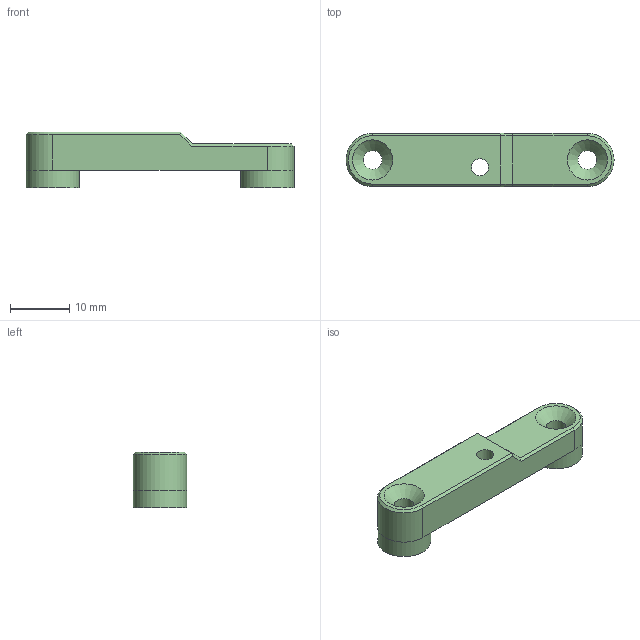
import cadquery as cq

end_diameter = 9.0
length = 45.34
high_top = 9.47
step_drop = 2.0
low_top = high_top - step_drop
bar_bottom = 3.0

ramp_start_x = 3.5
ramp_end_x = ramp_start_x + step_drop
edge_chamfer = 0.4

screw_diameter = 3.2
countersink_diameter = 6.8
countersink_angle = 90.0
pin_diameter = 2.9
pin_x = 0.0
pin_y = -1.25

end_x = (length - end_diameter) / 2


def make_bar():
    """Round-ended bar cut down to a high half, a ramp and a low half."""
    bar = (
        cq.Workplane("XY", origin=(0, 0, bar_bottom))
        .slot2D(length, end_diameter)
        .extrude(high_top - bar_bottom)
    )
    above_low_half = (
        cq.Workplane("XZ")
        .moveTo(ramp_start_x, high_top)
        .lineTo(ramp_end_x, low_top)
        .lineTo(length, low_top)
        .lineTo(length, high_top)
        .close()
        .extrude(end_diameter, both=True)
    )
    return bar.cut(above_low_half)


def chamfer_top_rim(bar):
    """Bevel the outer rim along both flats and the ramp, leaving the ramp's cross edges sharp."""
    return bar.edges("(not |Y) and (not |Z) and (not <Z)").chamfer(edge_chamfer)


def make_feet():
    """One round foot under each end of the bar."""
    return (
        cq.Workplane("XY")
        .pushPoints([(-end_x, 0), (end_x, 0)])
        .circle(end_diameter / 2)
        .extrude(bar_bottom)
    )


def drill_screw_hole(body, x, top):
    """Countersunk through hole, sunk from the given top level."""
    top_plane = cq.Workplane("XY", origin=(x, 0, top))
    return body.copyWorkplane(top_plane).cskHole(screw_diameter, countersink_diameter, countersink_angle)


def drill_pin_hole(body):
    """Plain through hole near the middle of the bar."""
    top_plane = cq.Workplane("XY", origin=(pin_x, pin_y, high_top))
    return body.copyWorkplane(top_plane).hole(pin_diameter)


body = make_feet().union(chamfer_top_rim(make_bar()))
body = drill_screw_hole(body, -end_x, high_top)
body = drill_screw_hole(body, end_x, low_top)
result = drill_pin_hole(body)